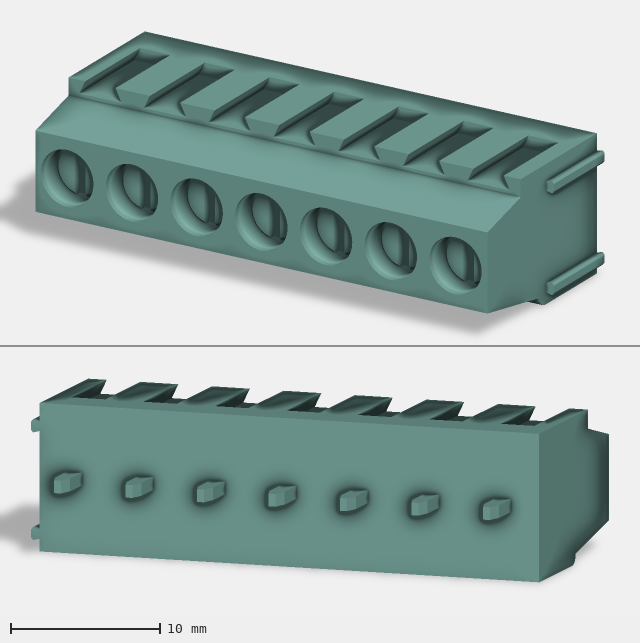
import cadquery as cq


total_length = 36.13
rail_projection = 0.6
housing_length = total_length - rail_projection
housing_height = 10.1
total_depth = 17.6
pin_length = 3.5
back_y = total_depth - pin_length
face_bottom_z = 1.88
face_top_z = 7.73
step_y = 4.25
step_z = 8.8
lip_y = 6.72
lip_radius = 0.72

pole_count = 7
pole_span = 30.5
pole_pitch = pole_span / (pole_count - 1)
first_pole_x = (housing_length - pole_span) / 2
pole_positions = [first_pole_x + i * pole_pitch for i in range(pole_count)]

screw_z = (face_bottom_z + face_top_z) / 2
mouth_radius = 2.05
mouth_depth = 0.3
well_radius = 1.95
cone_depth = 0.3
head_depth = 1.65
head_flat_radius = 1.7
head_chamfer = well_radius - head_flat_radius
slot_width = 0.85
slot_depth = 0.72

pocket_back_y = 11.35
pocket_depth = 0.98
pocket_top_width = 2.4
pocket_floor_width = 3.32

pin_width = 1.1
pin_thickness = 0.85
pin_z = 5.13
pin_tip_width = 0.47
pin_taper_length = 1.0

rail_length = 6.55
rail_centers_z = (1.2, 8.53)
rail_root_width = 0.65
rail_wide_width = 0.9
rail_wide_x = 0.47
rail_tip_width = 0.55


def make_housing():
    """Side profile with the stepped, sloped front, run along X."""
    return (
        cq.Workplane("YZ")
        .moveTo(0, face_bottom_z)
        .lineTo(lip_y, lip_radius)
        .radiusArc((lip_y + lip_radius, 0), -lip_radius)
        .lineTo(back_y, 0)
        .lineTo(back_y, housing_height)
        .lineTo(step_y, housing_height)
        .lineTo(step_y, step_z)
        .lineTo(0, face_top_z)
        .close()
        .extrude(housing_length)
    )


def make_screw_well(pole_x):
    """Space in front of one recessed screw: mouth, cone, bore, head chamfer and driver slot."""
    cone_end = mouth_depth + cone_depth
    turned = (
        cq.Workplane("XY")
        .moveTo(0, 0)
        .lineTo(mouth_radius, 0)
        .lineTo(mouth_radius, mouth_depth)
        .lineTo(well_radius, cone_end)
        .lineTo(well_radius, head_depth + head_chamfer)
        .lineTo(head_flat_radius, head_depth)
        .lineTo(0, head_depth)
        .close()
        .revolve(360, (0, 0, 0), (0, 1, 0))
    )
    slot_end = head_depth + slot_depth
    slot = (
        cq.Workplane("XY")
        .box(slot_width, slot_end - cone_end, 2 * well_radius)
        .translate((0, (slot_end + cone_end) / 2, 0))
    )
    slot_limit = cq.Workplane("XZ").circle(well_radius).extrude(-slot_end)
    return turned.union(slot.intersect(slot_limit)).translate((pole_x, 0, screw_z))


def make_pocket(pole_x):
    """Dovetail groove, open at the top and at the front step."""
    half_top = pocket_top_width / 2
    half_floor = pocket_floor_width / 2
    return (
        cq.Workplane("XZ", origin=(pole_x, step_y, housing_height))
        .polyline([
            (-half_top, 0),
            (half_top, 0),
            (half_floor, -pocket_depth),
            (-half_floor, -pocket_depth),
        ])
        .close()
        .extrude(-(pocket_back_y - step_y))
    )


def make_pin(pole_x):
    """Flat pin with a tip tapered in plan."""
    half_width = pin_width / 2
    half_tip = pin_tip_width / 2
    shoulder = pin_length - pin_taper_length
    return (
        cq.Workplane("XY", origin=(pole_x, back_y, pin_z - pin_thickness / 2))
        .polyline([
            (-half_width, 0),
            (half_width, 0),
            (half_width, shoulder),
            (half_tip, pin_length),
            (-half_tip, pin_length),
            (-half_width, shoulder),
        ])
        .close()
        .extrude(pin_thickness)
    )


def make_rail(center_z):
    """Dovetail rail with a chamfered crown, flush with the back of the housing."""
    half_root = rail_root_width / 2
    half_wide = rail_wide_width / 2
    half_tip = rail_tip_width / 2
    return (
        cq.Workplane("XZ", origin=(housing_length, back_y, center_z))
        .polyline([
            (0, -half_root),
            (rail_wide_x, -half_wide),
            (rail_projection, -half_tip),
            (rail_projection, half_tip),
            (rail_wide_x, half_wide),
            (0, half_root),
        ])
        .close()
        .extrude(rail_length)
    )


result = make_housing()
for x in pole_positions:
    result = result.cut(make_screw_well(x))
    result = result.cut(make_pocket(x))
    result = result.union(make_pin(x))
for z in rail_centers_z:
    result = result.union(make_rail(z))